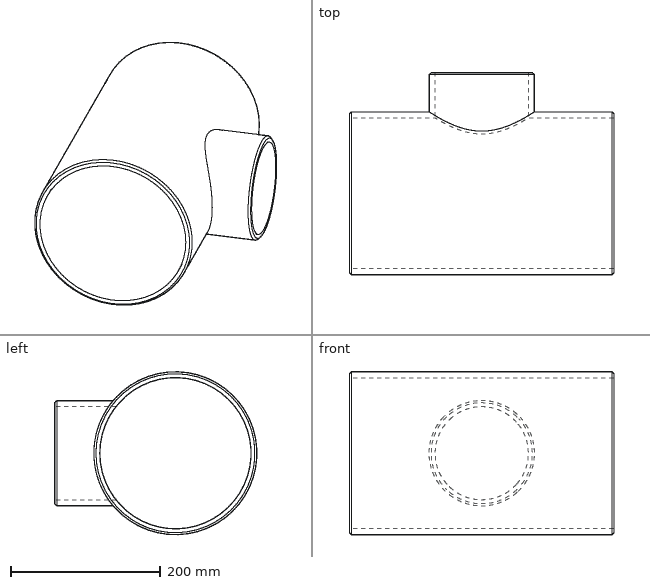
import cadquery as cq

run_length = 355.5
run_diameter = 219.0
run_wall = 8.2
branch_diameter = 141.5
branch_wall = 8.2
branch_reach = 162.0
end_chamfer = 3.0


def cylinder(plane, start, length, diameter):
    """Solid cylinder along the plane normal, beginning at the given offset."""
    return cq.Workplane(plane).workplane(offset=start).circle(diameter / 2).extrude(length)


def run_cylinder(diameter):
    """Cylinder over the full length of the run, centred on the origin."""
    return cylinder("YZ", -run_length / 2, run_length, diameter)


def branch_cylinder(diameter):
    """Cylinder from the branch end face to the run axis (the XZ normal is -Y)."""
    return cylinder("XZ", -branch_reach, branch_reach, diameter)


run = run_cylinder(run_diameter).faces("<X or >X").edges().chamfer(end_chamfer)
branch = branch_cylinder(branch_diameter).faces(">Y").edges().chamfer(end_chamfer)

run_bore = run_cylinder(run_diameter - 2 * run_wall)
branch_bore = branch_cylinder(branch_diameter - 2 * branch_wall)

result = run.union(branch).cut(run_bore).cut(branch_bore)